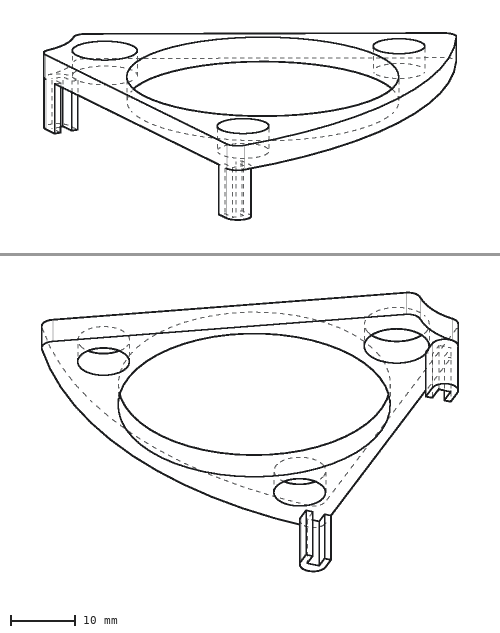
import cadquery as cq
import math

sector_angle = 60
outer_radius = 69.95
inner_radius = 11.0
corner_radius = 2.0
plate_thickness = 3.95

opening_diameter = 42.0
opening_distance = 46.0
inner_hole_diameter = 10.0
inner_hole_distance = 18.0
corner_hole_diameter = 8.0
corner_hole_x = 61.0
corner_hole_y = 7

leg_height = 8.05
leg_width = 4.15
inner_leg_start = 10.85
inner_leg_length = 4.8
outer_leg_end = 69.9
outer_leg_length = 4.35
leg_slot_width = 2.0
leg_end_radius = leg_width / 2


def polar(radius, angle):
    """Point at a distance from the apex and an angle in degrees from +X."""
    return (radius * math.cos(math.radians(angle)), radius * math.sin(math.radians(angle)))


def make_plate():
    middle_angle = sector_angle / 2
    return (
        cq.Workplane("XY")
        .moveTo(*polar(inner_radius, 0))
        .lineTo(*polar(outer_radius, 0))
        .threePointArc(polar(outer_radius, middle_angle), polar(outer_radius, sector_angle))
        .lineTo(*polar(inner_radius, sector_angle))
        .threePointArc(polar(inner_radius, middle_angle), polar(inner_radius, 0))
        .close()
        .extrude(plate_thickness)
        .edges("|Z")
        .fillet(corner_radius)
    )


def drill(body, diameter, center):
    cutter = cq.Workplane("XY").center(*center).circle(diameter / 2).extrude(plate_thickness)
    return body.cut(cutter)


def make_leg(round_end_x, length, inward):
    """Leg from its round end; inward is +1 or -1, the X direction of its slotted end."""
    round_center_x = round_end_x + inward * leg_end_radius
    flat_end_x = round_end_x + inward * length
    slot_depth = length - leg_end_radius
    slot_center_x = flat_end_x - inward * slot_depth / 2
    leg = (
        cq.Workplane("XY")
        .moveTo(flat_end_x, 0)
        .lineTo(round_center_x, 0)
        .threePointArc((round_end_x, leg_width / 2), (round_center_x, leg_width))
        .lineTo(flat_end_x, leg_width)
        .close()
        .extrude(-leg_height)
    )
    slot = (
        cq.Workplane("XY")
        .center(slot_center_x, leg_width / 2)
        .rect(slot_depth, leg_slot_width)
        .extrude(-leg_height)
    )
    return leg.cut(slot)


result = make_plate()

result = drill(result, opening_diameter, polar(opening_distance, sector_angle / 2))
result = drill(result, inner_hole_diameter, polar(inner_hole_distance, sector_angle / 2))

corner_hole_distance = math.hypot(corner_hole_x, corner_hole_y)
corner_hole_angle = math.degrees(math.atan2(corner_hole_y, corner_hole_x))
for hole_angle in (corner_hole_angle, sector_angle - corner_hole_angle):
    result = drill(result, corner_hole_diameter, polar(corner_hole_distance, hole_angle))

result = result.union(make_leg(inner_leg_start, inner_leg_length, 1))
result = result.union(make_leg(outer_leg_end, outer_leg_length, -1))